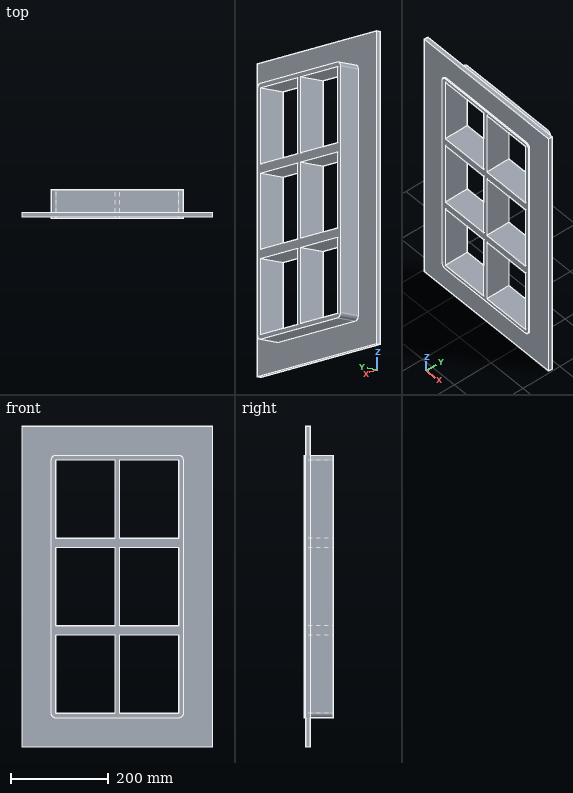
import cadquery as cq

plate_width = 391.0
plate_height = 658.5
plate_thickness = 10.0

frame_width = 271.0
frame_height = 538.5
frame_depth = 60.0
frame_corner_radius = 10.0
frame_front_lip = 3.0

columns = 2
rows = 3
rim = 10.0
upright_width = 10.0
crossbar_height = 20.0
opening_width = (frame_width - 2 * rim - (columns - 1) * upright_width) / columns
opening_height = (frame_height - 2 * rim - (rows - 1) * crossbar_height) / rows


def upright_block(width, depth, height, front_y):
    """Block centred on X and Z, reaching from front_y towards +Y."""
    return cq.Workplane("XY").box(width, depth, height).translate((0, front_y + depth / 2, 0))


plate = upright_block(plate_width, plate_thickness, plate_height, 0)

frame = upright_block(frame_width, frame_depth, frame_height, -frame_front_lip)
frame = frame.edges("|Y").fillet(frame_corner_radius)

openings = (
    cq.Workplane("XZ", origin=(0, -frame_front_lip, 0))
    .rarray(opening_width + upright_width, opening_height + crossbar_height, columns, rows)
    .rect(opening_width, opening_height)
    .extrude(-frame_depth)
)

result = plate.union(frame).cut(openings)